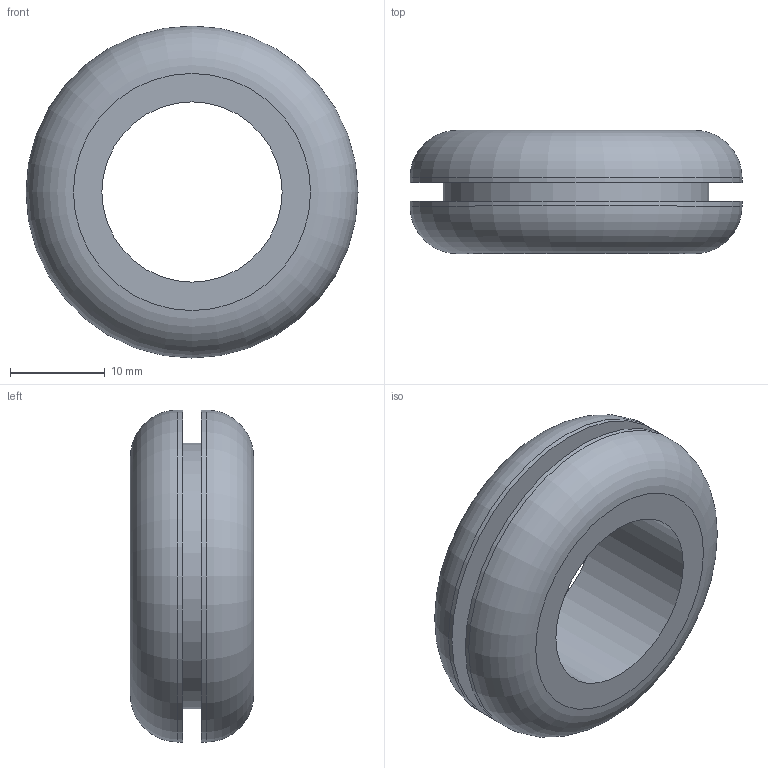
import cadquery as cq

outer_diameter = 35.0
bore_diameter = 19.0
groove_diameter = 28.0
thickness = 13.0
groove_width = 2.0
edge_radius = 5.0


def cylinder(diameter, length):
    """Cylinder along Y, centred on the origin."""
    return cq.Workplane("XZ", origin=(0, length / 2, 0)).circle(diameter / 2).extrude(length)


def make_body():
    """Solid disc with both outer edges rounded."""
    return cylinder(outer_diameter, thickness).faces("<Y or >Y").edges().fillet(edge_radius)


def make_groove():
    """Ring of material removed from the middle of the rim."""
    return cylinder(outer_diameter, groove_width).cut(cylinder(groove_diameter, groove_width))


bore = cylinder(bore_diameter, thickness)
result = make_body().cut(make_groove()).cut(bore)